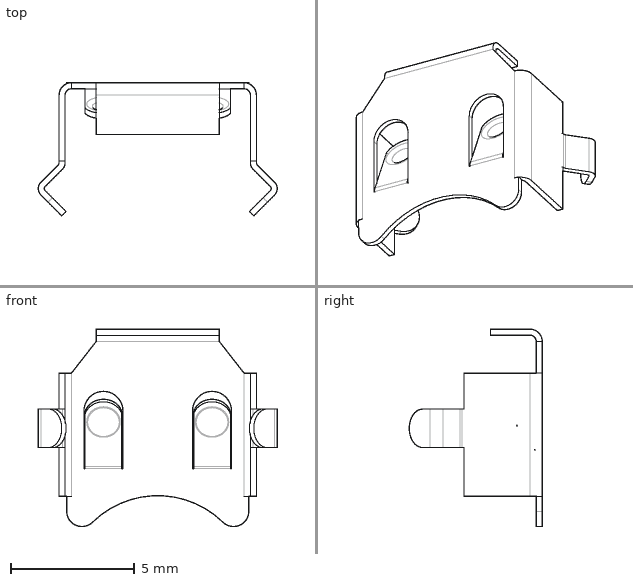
import cadquery as cq
import math

overall_width = 9.69
overall_depth = 5.4
overall_height = 8.0
sheet = 0.25
bend_inside = 0.25
bend_outside = bend_inside + sheet

flange_width = 5.0
flange_depth = 2.1

wall_span = 8.0
wall_depth = 3.18
wall_height = 5.0
wall_bottom = 1.22
wall_top = wall_bottom + wall_height
wall_bend_x = wall_span / 2 - bend_outside

tab_width = 1.57
tab_centre_z = 3.98
tab_root = 0.07
tab_inside = 0.12
tab_outside = tab_inside + sheet
tab_kink = 45.0

lobe_span = 7.38
lobe_radius = 0.62
lobe_centre_x = lobe_span / 2 - lobe_radius
arch_top = 1.25

slot_x = 2.2
slot_width = 1.57
slot_bottom = 2.345
slot_top = 5.475
tongue_width = 1.5
tongue_length = 2.88
tongue_tilt = 24.5
tongue_inside = 0.23
tongue_tip_radius = slot_width / 2

dimple_distance = 1.98
dimple_radius = 0.68
dimple_fillet = 0.05
dimple_angle = 49.0


def frame_at(origin, along, normal):
    return cq.Location(cq.Plane(origin=origin, xDir=along, normal=normal))


def flat(frame, width, length):
    """Flat length of strip and the frame at its far end."""
    solid = cq.Workplane("XY").box(length, width, sheet, centered=(False, True, True))
    return placed(solid, frame), frame * cq.Location(cq.Vector(length, 0, 0))


def bend(frame, width, angle, inside):
    """Bend of strip, towards local +z for a positive angle, and the frame at its far end."""
    side = math.copysign(1, angle)
    axis_z = side * (inside + sheet / 2)
    solid = (
        cq.Workplane("YZ")
        .rect(width, sheet)
        .revolve(abs(angle), (0, axis_z), (-side, axis_z))
    )
    turn = cq.Location(cq.Vector(0, 0, axis_z), cq.Vector(0, 1, 0), -angle)
    return placed(solid, frame), frame * turn * cq.Location(cq.Vector(0, 0, -axis_z))


def round_ended_leaf(width, length, tip_radius):
    """Flat strip along local x that ends in an arc, left at the origin."""
    half_width = width / 2
    shoulder = length - tip_radius + math.sqrt(tip_radius**2 - half_width**2)
    return (
        cq.Workplane("XY")
        .moveTo(0, -half_width)
        .lineTo(shoulder, -half_width)
        .threePointArc((length, 0), (shoulder, half_width))
        .lineTo(0, half_width)
        .close()
        .extrude(sheet / 2, both=True)
    )


def placed(solid, frame):
    """Move a solid from the origin onto a frame."""
    return cq.Workplane(solid.val().moved(frame))


def polar(radius, angle):
    """Distances across and along an axis for a radius at an angle in degrees to it."""
    return radius * math.sin(math.radians(angle)), radius * math.cos(math.radians(angle))


def both_sides(right_half):
    """Join a right-hand body with its mirror image across X = 0."""
    return right_half.union(right_half.mirror("YZ"))


def back_plate():
    lobe_drop = arch_top - lobe_radius
    arch_radius = (lobe_centre_x**2 + lobe_drop**2 - lobe_radius**2) / (2 * arch_top)
    arch_centre_z = arch_top - arch_radius
    arch_end = math.degrees(math.atan2(lobe_centre_x, lobe_radius - arch_centre_z))
    tangent_x, tangent_rise = polar(arch_radius, arch_end)
    arch_mid_x, arch_mid_rise = polar(arch_radius, arch_end / 2)
    lobe_mid = (90 + 180 + arch_end) / 2
    lobe_mid_x, lobe_mid_rise = polar(lobe_radius, lobe_mid)

    half = (
        cq.Workplane("XZ")
        .moveTo(0, overall_height - bend_outside)
        .lineTo(flange_width / 2, overall_height - bend_outside)
        .lineTo(wall_bend_x, wall_top)
        .lineTo(wall_bend_x, wall_bottom)
        .lineTo(lobe_span / 2, wall_bottom)
        .lineTo(lobe_span / 2, lobe_radius)
        .threePointArc(
            (lobe_centre_x + lobe_mid_x, lobe_radius + lobe_mid_rise),
            (tangent_x, arch_centre_z + tangent_rise),
        )
        .threePointArc((arch_mid_x, arch_centre_z + arch_mid_rise), (0, arch_top))
        .close()
        .extrude(sheet)
    )
    return both_sides(half.cut(slot()))


def slot():
    spring_z = slot_top - slot_width / 2
    return (
        cq.Workplane("XZ")
        .moveTo(slot_x - slot_width / 2, slot_bottom)
        .lineTo(slot_x + slot_width / 2, slot_bottom)
        .lineTo(slot_x + slot_width / 2, spring_z)
        .threePointArc((slot_x, slot_top), (slot_x - slot_width / 2, spring_z))
        .close()
        .extrude(sheet)
    )


def top_flange():
    start = frame_at((0, -sheet / 2, overall_height - bend_outside), (0, 0, 1), (0, -1, 0))
    corner, frame = bend(start, flange_width, 90, bend_inside)
    leaf, _ = flat(frame, flange_width, flange_depth - bend_outside)
    return corner.union(leaf)


def side_wall():
    wall_centre_z = wall_bottom + wall_height / 2
    start = frame_at((wall_bend_x, -sheet / 2, wall_centre_z), (1, 0, 0), (0, -1, 0))
    corner, frame = bend(start, wall_height, 90, bend_inside)
    leaf, _ = flat(frame, wall_height, wall_depth - bend_outside)
    return corner.union(leaf)


def snap_tab():
    along, across = polar(tab_inside + tab_outside, tab_kink)
    first_x = wall_span / 2 + tab_inside
    first_y = wall_depth + tab_root
    second_x = overall_width / 2 - tab_outside
    flare_x = second_x - first_x + across
    flare_y = flare_x / math.tan(math.radians(tab_kink))
    flare_length = math.hypot(flare_x, flare_y)
    second_y = first_y + along + flare_y
    reach_y = overall_depth - second_y - tab_outside * math.sin(math.radians(tab_kink))
    return_length = reach_y / math.cos(math.radians(tab_kink))

    start = frame_at((wall_span / 2 - sheet / 2, -wall_depth, tab_centre_z), (0, -1, 0), (-1, 0, 0))
    root, frame = flat(start, tab_width, tab_root)
    kink, frame = bend(frame, tab_width, -tab_kink, tab_inside)
    flare, frame = flat(frame, tab_width, flare_length)
    knee, frame = bend(frame, tab_width, 2 * tab_kink, tab_inside)
    leaf = placed(round_ended_leaf(tab_width, return_length, tab_width / 2), frame)
    return root.union(kink).union(flare).union(knee).union(leaf)


def contact_tongue():
    start = frame_at((slot_x, -sheet / 2, slot_bottom), (0, 0, 1), (0, -1, 0))
    root, frame = bend(start, tongue_width, tongue_tilt, tongue_inside)
    leaf = round_ended_leaf(tongue_width, tongue_length, tongue_tip_radius)
    dimple_spot = cq.Location(cq.Vector(dimple_distance, 0, 0))
    opening = cq.Workplane("XY").circle(dimple_radius).extrude(sheet, both=True)
    leaf = leaf.cut(placed(opening, dimple_spot)).union(placed(dimple(), dimple_spot))
    return root.union(placed(leaf, frame))


def dimple():
    """Domed shell of constant thickness with a rounded rim, about local z."""
    back_fillet = dimple_fillet + sheet
    rim_centre_z = sheet / 2 + dimple_fillet
    rim_shift, rim_drop = polar(1, dimple_angle)
    half_shift, half_drop = polar(1, dimple_angle / 2)
    outer_radius = dimple_radius / rim_shift - dimple_fillet
    inner_radius = outer_radius - sheet
    dome_centre_z = rim_centre_z - dimple_radius / math.tan(math.radians(dimple_angle))

    def on_rim(radius, shift, drop):
        return dimple_radius - radius * shift, rim_centre_z - radius * drop

    def on_dome(radius, shift, rise):
        return radius * shift, dome_centre_z + radius * rise

    return (
        cq.Workplane("XZ")
        .moveTo(*on_rim(back_fillet, 0, 1))
        .threePointArc(
            on_rim(back_fillet, half_shift, half_drop),
            on_rim(back_fillet, rim_shift, rim_drop),
        )
        .threePointArc(on_dome(inner_radius, half_shift, half_drop), on_dome(inner_radius, 0, 1))
        .lineTo(*on_dome(outer_radius, 0, 1))
        .threePointArc(
            on_dome(outer_radius, half_shift, half_drop),
            on_dome(outer_radius, rim_shift, rim_drop),
        )
        .threePointArc(on_rim(dimple_fillet, half_shift, half_drop), on_rim(dimple_fillet, 0, 1))
        .close()
        .revolve(360, (0, 0), (0, 1))
    )


right_side = [side_wall(), snap_tab(), contact_tongue()]
result = back_plate().union(top_flange())
for piece in right_side:
    result = result.union(both_sides(piece))